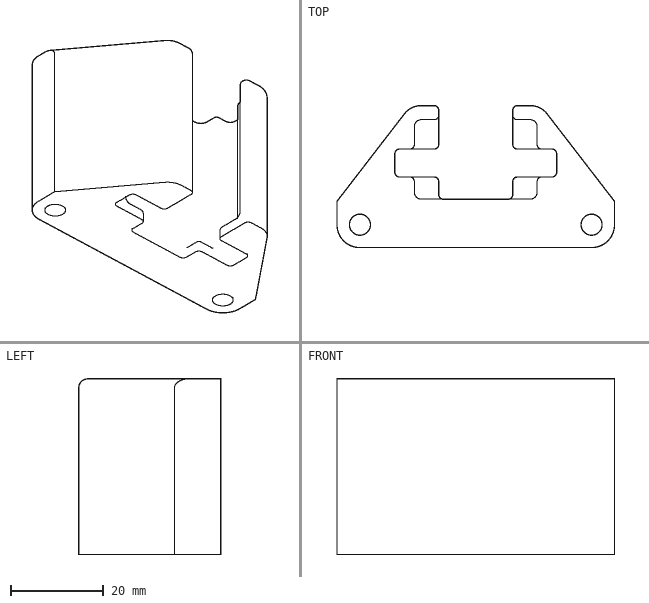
import cadquery as cq

width = 60.0
depth = 30.7
height = 38.0

front_corner_radius = 5.0
shoulder_y = 10.0
crest_x = 14.05
crest_radius = 4.5
outer_edge_radius = 2.0

hole_diameter = 4.5
hole_x = width / 2 - front_corner_radius
hole_y = front_corner_radius

lip_thickness = 3.05
floor_thickness = 3.0
pocket_half_width = 13.25
pocket_front = 10.5
pocket_back = depth - lip_thickness
pocket_corner_radius = 1.5

opening_half_width = 8.0

slot_half_length = 17.45
slot_front = 15.3
slot_width = 6.0
slot_back = slot_front + slot_width
slot_corner_radius = 1.0

inner_edge_radius = 1.0

tolerance = 0.03


def is_close(a, b):
    return abs(a - b) < tolerance


def centred_block(half_width, y_min, y_max, z_min=0.0):
    """Block centred on X = 0 that reaches up to the top face."""
    size = (2 * half_width, y_max - y_min, height - z_min)
    return cq.Workplane("XY").box(*size, centered=(True, False, False)).translate((0, y_min, z_min))


def outer_block():
    outline = [
        (-width / 2, 0),
        (width / 2, 0),
        (width / 2, shoulder_y),
        (crest_x, depth),
        (-crest_x, depth),
        (-width / 2, shoulder_y),
    ]
    block = cq.Workplane("XY").polyline(outline).close().extrude(height)
    block = block.edges("|Z and <Y").fillet(front_corner_radius)
    block = block.edges("|Z and >Y").fillet(crest_radius)

    rounded_edges = [
        edge
        for edge in block.faces(">Z").edges().vals()
        if edge.Center().y > shoulder_y
    ]
    return block.newObject(rounded_edges).fillet(outer_edge_radius)


def cavity():
    pocket = centred_block(pocket_half_width, pocket_front, pocket_back, floor_thickness)
    pocket = pocket.edges("|Z").fillet(pocket_corner_radius)
    slot = centred_block(slot_half_length, slot_front, slot_back)
    slot = slot.edges("|Z").fillet(slot_corner_radius)
    opening = centred_block(opening_half_width, pocket_front, depth)
    return pocket.union(slot).union(opening)


def screw_holes():
    centres = [(-hole_x, hole_y), (hole_x, hole_y)]
    return cq.Workplane("XY").pushPoints(centres).circle(hole_diameter / 2).extrude(height)


def is_inner_edge(edge):
    """True for the cavity edges to round: all but those on the base and the already round corners."""
    bounds = edge.BoundingBox()
    centre = edge.Center()
    on_opening_side = is_close(abs(centre.x), opening_half_width) and is_close(bounds.xlen, 0)
    is_vertical = is_close(bounds.xlen, 0) and is_close(bounds.ylen, 0)

    if is_close(bounds.zmax, 0):
        return False
    if is_vertical:
        on_pocket_side = is_close(abs(centre.x), pocket_half_width)
        on_slot_side = is_close(centre.y, slot_front) or is_close(centre.y, slot_back)
        return on_opening_side or (on_pocket_side and on_slot_side)

    in_cavity = (
        abs(centre.x) < slot_half_length + tolerance
        and bounds.ymin > pocket_front - tolerance
        and bounds.ymax < pocket_back + tolerance
    )
    return in_cavity or on_opening_side


body = outer_block().cut(cavity()).cut(screw_holes())
inner_edges = [edge for edge in body.edges().vals() if is_inner_edge(edge)]
result = body.newObject(inner_edges).fillet(inner_edge_radius).solids()